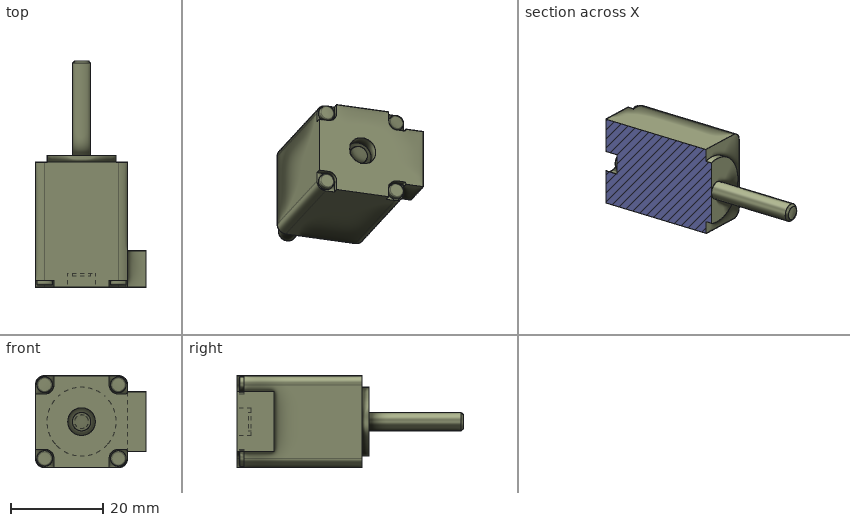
import cadquery as cq
body_size = 20.0
body_length = 27.2
corner_radius = 2.0

pilot_diameter = 15.0
pilot_height = 1.5
shaft_diameter = 4.0
shaft_length = 20.5
shaft_chamfer = 0.5

bore_diameter = 6.0
bore_depth = 3.0
shaft_stub_height = 0.5

connector_width = 4.0
connector_length = 8.0
connector_height = 13.0

screw_offset = 8.0
pocket_size = 4.0
pocket_depth = 1.5
pocket_radius = 2.0
connector_side_radius = 0.5
head_diameter = 3.4
head_height = 1.0
head_fillet = 0.25

half_body = body_size / 2


def cylinder(diameter, start_y, length, x=0.0, z=0.0):
    """Round bar parallel to Y, from start_y toward +Y."""
    return (
        cq.Workplane(cq.Plane(origin=(x, start_y, z), xDir=(0, 0, 1), normal=(0, 1, 0)))
        .circle(diameter / 2)
        .extrude(length)
    )


def box_from(start_x, start_y, size_x, size_y, size_z):
    """Box centred on Z = 0 with its low X and Y corner given."""
    return cq.Workplane("XY").box(size_x, size_y, size_z, centered=(False, False, True)).translate(
        (start_x, start_y, 0)
    )


def make_housing():
    housing = box_from(-half_body, 0, body_size, body_length, body_size)
    return housing.edges("|Y").fillet(corner_radius)


def make_connector():
    return box_from(half_body, 0, connector_width, connector_length, connector_height)


def corner_pocket(side_x, side_z):
    """Corner recess whose inner corner is rounded around the screw axis."""
    center = half_body - pocket_size / 2
    pocket = (
        cq.Workplane("XY")
        .box(pocket_size, pocket_depth, pocket_size)
        .edges("|Y")
        .edges("<X" if side_x > 0 else ">X")
        .edges("<Z" if side_z > 0 else ">Z")
        .fillet(pocket_radius)
    )
    if side_x > 0:
        pocket = (
            pocket.edges("|Y")
            .edges(">X")
            .edges("<Z" if side_z > 0 else ">Z")
            .fillet(connector_side_radius)
        )
    return pocket.translate((side_x * center, pocket_depth / 2, side_z * center))


def screw_head(side_x, side_z):
    """Head standing on the pocket floor, rounded at its outer rim."""
    head = cylinder(
        head_diameter,
        pocket_depth - head_height,
        head_height,
        side_x * screw_offset,
        side_z * screw_offset,
    )
    return head.faces("<Y").edges().fillet(head_fillet)


def make_output_shaft():
    pilot = cylinder(pilot_diameter, body_length, pilot_height)
    shaft = cylinder(shaft_diameter, body_length + pilot_height, shaft_length)
    return pilot.union(shaft.faces(">Y").chamfer(shaft_chamfer))


result = make_housing().union(make_connector()).union(make_output_shaft())
result = result.cut(cylinder(bore_diameter, 0, bore_depth))
result = result.union(cylinder(shaft_diameter, bore_depth - shaft_stub_height, shaft_stub_height))

for side_x in (-1, 1):
    for side_z in (-1, 1):
        result = result.cut(corner_pocket(side_x, side_z))
        result = result.union(screw_head(side_x, side_z))